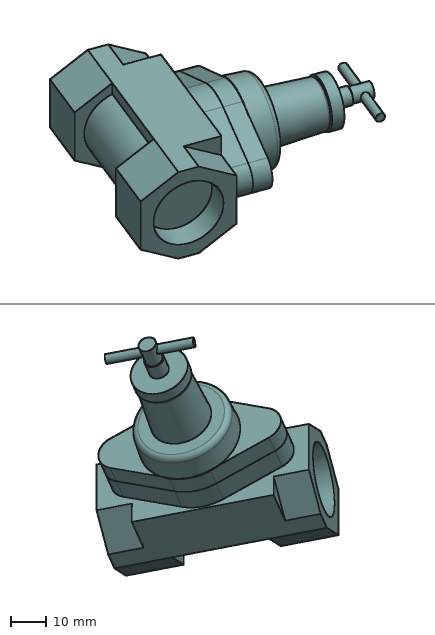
import cadquery as cq
import math

body_length = 63.0
body_height = 31.0
body_half_depth = 15.0
end_length = 17.1
end_flat_half_width = 8.6
end_flat_half_depth = 3.2
rear_cut_length = 10.5
barrel_radius = 11.95
bore_radius = 10.9
bore_depth = 8.0

flange_centre_radius = 14.8
flange_lobe_radius = 6.0
flange_lobe_offset = 21.1
lower_flange_thickness = 7.1
upper_flange_thickness = 6.1

skirt_height = 8.7
skirt_base_radius = 15.05
skirt_top_radius = 14.5
skirt_fillet = 1.8
neck_height = 18.2
neck_base_radius = 9.0
neck_top_radius = 8.1
neck_fillet = 0.95
collar_height = 3.9
collar_radius = 8.5
stem_height = 5.25
stem_radius = 2.9
tip_radius = 2.6
tip_end = 86.0 - body_half_depth
handle_radius = 1.5
handle_length = 26.15
handle_setback = 2.9

flange_joint = body_half_depth + lower_flange_thickness
skirt_base = flange_joint + upper_flange_thickness
neck_base = skirt_base + skirt_height
collar_base = neck_base + neck_height
collar_top = collar_base + collar_height
stem_top = collar_top + stem_height


def box_between(x_range, y_range, z_range):
    """Box spanning the given ranges."""
    (x0, x1), (y0, y1), (z0, z1) = x_range, y_range, z_range
    return cq.Workplane("XY").box(x1 - x0, y1 - y0, z1 - z0, centered=False).translate((x0, y0, z0))


def x_cylinder(radius, x_start, length):
    """Cylinder on the bore axis."""
    return cq.Workplane("YZ", origin=(x_start, 0, 0)).circle(radius).extrude(length)


def wrench_end(x_start, length):
    """Eight-sided prism along X."""
    depth = body_half_depth
    height = body_height / 2
    corners = [
        (depth, end_flat_half_width), (end_flat_half_depth, height),
        (-end_flat_half_depth, height), (-depth, end_flat_half_width),
        (-depth, -end_flat_half_width), (-end_flat_half_depth, -height),
        (end_flat_half_depth, -height), (depth, -end_flat_half_width),
    ]
    return cq.Workplane("YZ", origin=(x_start, 0, 0)).polyline(corners).close().extrude(length)


def diamond_flange(y_start, thickness):
    """Plate bounded by a central arc and two lobe arcs, joined by tangent lines."""
    tilt = math.asin((flange_centre_radius - flange_lobe_radius) / flange_lobe_offset)
    centre_x = flange_centre_radius * math.sin(tilt)
    centre_z = flange_centre_radius * math.cos(tilt)
    lobe_x = flange_lobe_offset + flange_lobe_radius * math.sin(tilt)
    lobe_z = flange_lobe_radius * math.cos(tilt)
    lobe_end = flange_lobe_offset + flange_lobe_radius
    return (
        cq.Workplane("XZ", origin=(0, y_start, 0))
        .moveTo(-centre_x, centre_z)
        .threePointArc((0, flange_centre_radius), (centre_x, centre_z))
        .lineTo(lobe_x, lobe_z)
        .threePointArc((lobe_end, 0), (lobe_x, -lobe_z))
        .lineTo(centre_x, -centre_z)
        .threePointArc((0, -flange_centre_radius), (-centre_x, -centre_z))
        .lineTo(-lobe_x, -lobe_z)
        .threePointArc((-lobe_end, 0), (-lobe_x, lobe_z))
        .close()
        .extrude(-thickness)
    )


def y_frustum(y_start, y_end, start_radius, end_radius):
    """Round section on the bonnet axis, straight or tapered."""
    profile = [(0, y_start), (start_radius, y_start), (end_radius, y_end), (0, y_end)]
    return cq.Workplane("XY").polyline(profile).close().revolve(360, (0, 0, 0), (0, 1, 0))


def make_valve_body():
    half_length = body_length / 2
    half_height = body_height / 2
    block_half_length = half_length - rear_cut_length
    body = box_between(
        (-block_half_length, block_half_length),
        (-end_flat_half_depth, body_half_depth),
        (-half_height, half_height),
    )
    body = body.union(x_cylinder(barrel_radius, -half_length, body_length))
    for x_start in (-half_length, half_length - end_length):
        body = body.union(wrench_end(x_start, end_length))
    body = body.union(diamond_flange(body_half_depth, lower_flange_thickness))
    for x_start in (-half_length, half_length - bore_depth):
        body = body.cut(x_cylinder(bore_radius, x_start, bore_depth))
    return body


def make_bonnet():
    """Bonnet with its spindle and cross handle."""
    skirt = y_frustum(skirt_base, neck_base, skirt_base_radius, skirt_top_radius)
    skirt = skirt.faces(">Y").edges().fillet(skirt_fillet)
    bonnet = diamond_flange(flange_joint, upper_flange_thickness).union(skirt)
    neck = y_frustum(neck_base, collar_base, neck_base_radius, neck_top_radius)
    bonnet = bonnet.union(neck.faces(">Y").edges().fillet(neck_fillet))
    round_sections = [
        (collar_base, collar_top, collar_radius, collar_radius),
        (collar_top, stem_top, stem_radius, stem_radius),
        (stem_top, tip_end, tip_radius, tip_radius),
    ]
    for section in round_sections:
        bonnet = bonnet.union(y_frustum(*section))
    handle = x_cylinder(handle_radius, -handle_length / 2, handle_length)
    return bonnet.union(handle.translate((0, tip_end - handle_setback, 0)))


valve_body = make_valve_body()
bonnet = make_bonnet()
result = cq.Compound.makeCompound([valve_body.val(), bonnet.val()])